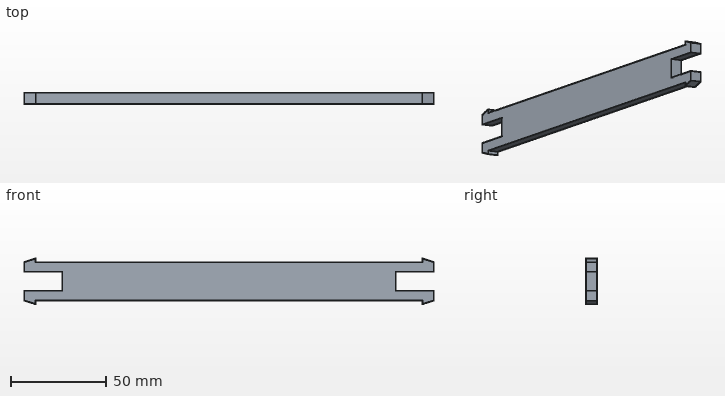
import cadquery as cq

length = 215.2
thickness = 6.0
height_over_barbs = 24.0

barb_height = 2.0
barb_length = 6.0

slot_depth = 20.0
slot_height = 10.0

half_length = length / 2
half_barbs = height_over_barbs / 2
half_body = half_barbs - barb_height


def barb(x_side, z_side):
    """Wedge that rises from the prong tip to a square catch facing the middle."""
    tip_x = x_side * half_length
    catch_x = x_side * (half_length - barb_length)
    base_z = z_side * half_body
    return (
        cq.Workplane("XZ")
        .moveTo(tip_x, base_z)
        .lineTo(catch_x, z_side * half_barbs)
        .lineTo(catch_x, base_z)
        .close()
        .extrude(thickness / 2, both=True)
    )


def end_slot(x_side):
    """Cutter for the slot that opens through one end."""
    return cq.Workplane("XY").box(slot_depth, thickness, slot_height).translate(
        (x_side * (half_length - slot_depth / 2), 0, 0)
    )


result = cq.Workplane("XY").box(length, thickness, 2 * half_body)
for x_side in (-1, 1):
    result = result.cut(end_slot(x_side))
    for z_side in (-1, 1):
        result = result.union(barb(x_side, z_side))